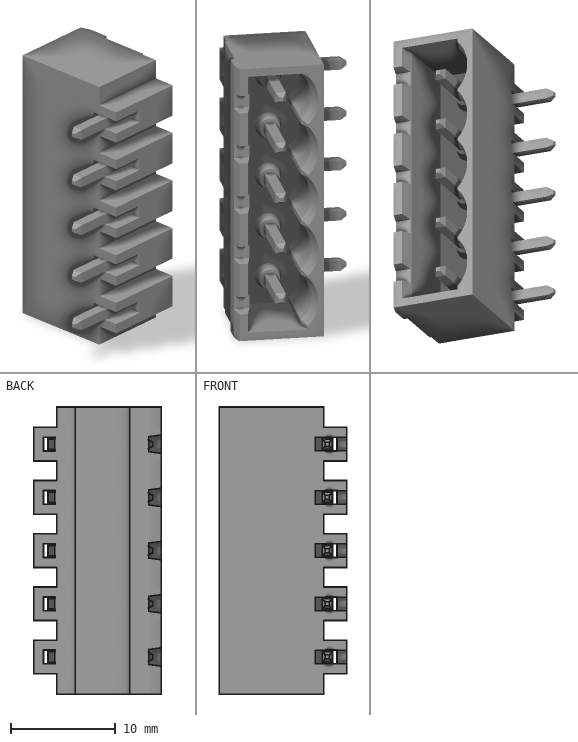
import cadquery as cq

row_length = 27.4
pin_count = 5
pin_pitch = 5.07
housing_depth = 10.0
total_depth = 12.2
housing_height = 8.5

latch_bevel_length = 1.12
latch_bevel_drop = 0.3
latch_ridge_end = 3.05
middle_height = 8.08
middle_end = 8.22
rear_height = 7.92

end_wall = 0.8
cavity_depth = 8.22
lead_in_depth = 1.48
cavity_top_inner = 6.93
cavity_top_outer = 7.35
cusp_flat_inner = 1.97
cusp_flat_outer = 1.53
scallop_radius_inner = 3.01
scallop_radius_outer = 3.42

window_depth = 1.23
window_width_outer = 1.75
window_width_inner = 1.42

pin_width = 1.01
pin_tip_width = 0.38
pin_tip_length = 0.6
pin_axis_y = 3.95
pin_axis_x = 10.33
pin_front_x = 0.82
pin_end_y = -4.0

collar_base_radius = 1.25
collar_tip_radius = 1.0
collar_length = 1.1

foot_width = 3.23
slot_width = 1.3
slot_start_x = 9.18
slot_height = 3.3
shaft_start_x = 10.17
shaft_end_x = 11.23

first_pin_z = row_length / 2 - pin_pitch * (pin_count - 1) / 2
pin_positions = [first_pin_z + i * pin_pitch for i in range(pin_count)]


def box(x_range, y_range, z_range):
    """Axis-aligned block spanning the three given ranges."""
    size = [high - low for low, high in (x_range, y_range, z_range)]
    corner = (x_range[0], y_range[0], z_range[0])
    return cq.Workplane("XY").box(*size, centered=False).translate(corner)


def span(center, width):
    """Range of the given width about a center."""
    return center - width / 2, center + width / 2


def make_housing():
    """Housing block, extruded from its stepped XY profile."""
    return (
        cq.Workplane("XY")
        .moveTo(0, 0)
        .lineTo(housing_depth, 0)
        .lineTo(housing_depth, rear_height)
        .lineTo(middle_end, rear_height)
        .lineTo(middle_end, middle_height)
        .lineTo(latch_ridge_end, middle_height)
        .lineTo(latch_ridge_end, housing_height)
        .lineTo(latch_bevel_length, housing_height)
        .lineTo(0, housing_height - latch_bevel_drop)
        .close()
        .extrude(row_length)
    )


def make_cavity():
    """Straight-walled part of the cavity, narrowing over the lead-in."""
    return (
        cq.Workplane("XY")
        .moveTo(0, cusp_flat_outer)
        .lineTo(lead_in_depth, cusp_flat_inner)
        .lineTo(cavity_depth, cusp_flat_inner)
        .lineTo(cavity_depth, cavity_top_inner)
        .lineTo(lead_in_depth, cavity_top_inner)
        .lineTo(0, cavity_top_outer)
        .close()
        .extrude(row_length - 2 * end_wall)
        .translate((0, 0, end_wall))
    )


def make_scallop(z):
    """Round recess concentric with a pin, limited to the board side of its axis."""
    recess = (
        cq.Workplane("XY")
        .lineTo(0, scallop_radius_outer)
        .lineTo(lead_in_depth, scallop_radius_inner)
        .lineTo(cavity_depth, scallop_radius_inner)
        .lineTo(cavity_depth, 0)
        .close()
        .revolve(360, (0, 0, 0), (1, 0, 0))
        .translate((0, pin_axis_y, z))
    )
    limit = box((0, cavity_depth), (0, pin_axis_y), (end_wall, row_length - end_wall))
    return recess.intersect(limit)


def make_window(z):
    """Flared coding window through the latch-side wall."""
    return (
        cq.Workplane("XZ")
        .moveTo(0, z - window_width_outer / 2)
        .lineTo(window_depth, z - window_width_inner / 2)
        .lineTo(window_depth, z + window_width_inner / 2)
        .lineTo(0, z + window_width_outer / 2)
        .close()
        .extrude(-(housing_height - cavity_top_inner))
        .translate((0, cavity_top_inner, 0))
    )


def make_collar(z):
    """Conical collar standing on the cavity floor."""
    return cq.Workplane(
        cq.Solid.makeCone(
            collar_base_radius,
            collar_tip_radius,
            collar_length,
            pnt=cq.Vector(cavity_depth, pin_axis_y, z),
            dir=cq.Vector(-1, 0, 0),
        )
    )


def make_foot(z):
    """Rear foot behind one pin."""
    return box((housing_depth, total_depth), (0, rear_height), span(z, foot_width))


def make_pin_slot(z):
    """Slot open to the board side and rear, with a shaft through the full height."""
    slot = box((slot_start_x, total_depth), (0, slot_height), span(z, slot_width))
    shaft = box((shaft_start_x, shaft_end_x), (0, rear_height), span(z, slot_width))
    return slot.union(shaft)


def make_pin_leg(start, direction, length):
    """Square leg of a pin ending in a blunt pyramid."""
    plane = cq.Plane(origin=start, xDir=(0, 0, 1), normal=direction)
    shank_length = length - pin_tip_length
    shank = cq.Workplane(plane).rect(pin_width, pin_width).extrude(shank_length)
    tip = (
        cq.Workplane(plane)
        .workplane(offset=shank_length)
        .rect(pin_width, pin_width)
        .workplane(offset=pin_tip_length)
        .rect(pin_tip_width, pin_tip_width)
        .loft(ruled=True)
    )
    return shank.union(tip)


def make_pin(z):
    """Right-angle pin: a mating leg along X and a solder leg along Y."""
    half = pin_width / 2
    mating_leg = make_pin_leg(
        (pin_axis_x + half, pin_axis_y, z), (-1, 0, 0), pin_axis_x + half - pin_front_x
    )
    solder_leg = make_pin_leg(
        (pin_axis_x, pin_axis_y + half, z), (0, -1, 0), pin_axis_y + half - pin_end_y
    )
    return mating_leg.union(solder_leg)


result = make_housing().cut(make_cavity())
for pin_z in pin_positions:
    result = result.cut(make_scallop(pin_z)).cut(make_window(pin_z))
    result = result.union(make_foot(pin_z)).cut(make_pin_slot(pin_z))
    result = result.union(make_collar(pin_z)).union(make_pin(pin_z))